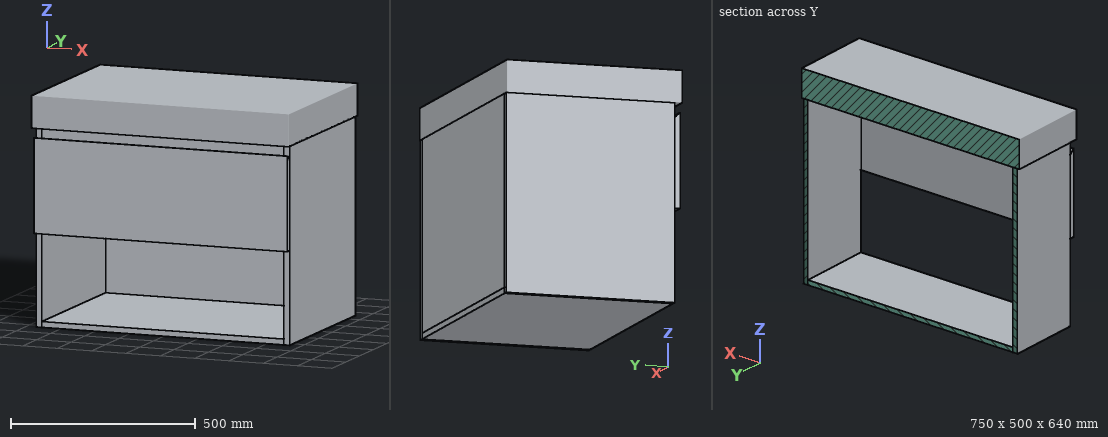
import cadquery as cq

width = 750.0
depth = width * 2 / 3
height = 640.0

top_height = 90.0
side_overhang = 6.0
edge_radius = 1.0

board = 16.5
cabinet_width = width - 2 * side_overhang
cabinet_depth = 480.0
cabinet_height = height - top_height
inner_width = cabinet_width - 2 * board
back_y = depth / 2
front_y = back_y - cabinet_depth

drawer_height = 262.5
finger_gap = 27.0
drawer_top = cabinet_height - finger_gap
drawer_thickness = 16.0
grip_bevel = 13.0
rail_height = 2 * finger_gap


def make_block(size_x, size_y, size_z, y_front, z_bottom, x_center=0):
    """Rectangular board placed by its front face, underside and X center."""
    block = cq.Workplane("XY").box(size_x, size_y, size_z, centered=(True, False, False))
    return block.translate((x_center, y_front, z_bottom))


def make_countertop():
    """Solid slab with all its edges slightly rounded."""
    slab = make_block(width, depth, top_height, -depth / 2, cabinet_height)
    return slab.edges().fillet(edge_radius)


def make_side_panel(side):
    """Full-height side panel: side is -1 for left, 1 for right."""
    x_center = side * (cabinet_width - board) / 2
    return make_block(board, cabinet_depth, cabinet_height, front_y, 0, x_center)


def make_drawer_front():
    """Full-width drawer front with a finger bevel on its upper rear edge."""
    front = make_block(
        cabinet_width, drawer_thickness, drawer_height,
        front_y - drawer_thickness, drawer_top - drawer_height
    )
    return front.edges(">Y and >Z").chamfer(grip_bevel)


countertop = make_countertop()
side_panels = [make_side_panel(side) for side in (-1, 1)]
bottom_panel = make_block(inner_width, cabinet_depth, board, front_y, 0)
back_panel = make_block(inner_width, board, cabinet_height - board, back_y - board, board)
front_rail = make_block(inner_width, board, rail_height, front_y, cabinet_height - rail_height)
drawer_front = make_drawer_front()

result = cq.Compound.makeCompound([
    countertop.val(),
    *[panel.val() for panel in side_panels],
    bottom_panel.val(),
    back_panel.val(),
    front_rail.val(),
    drawer_front.val(),
])